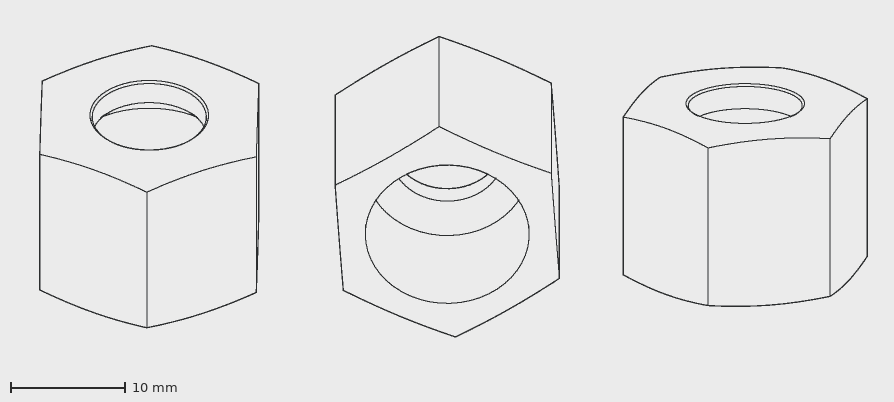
import cadquery as cq
import math

across_corners = 21.95
height = 15.5
face_diameter = 18.91
corner_angle = 15.0

bore_diameter = 10.0
bore_chamfer = 0.2
bore_depth = 2.25
socket_diameter = 14.37
cone_half_angle = 45.0

corner_radius = across_corners / 2
face_radius = face_diameter / 2
bore_radius = bore_diameter / 2
socket_radius = socket_diameter / 2
corner_drop = (corner_radius - face_radius) * math.tan(math.radians(corner_angle))
cone_length = (socket_radius - bore_radius) / math.tan(math.radians(cone_half_angle))


def revolve_profile(points):
    """Turn a closed (radius, height) outline around the Z axis."""
    return cq.Workplane("XZ").polyline(points).close().revolve(360, (0, 0), (0, 1))


def hexagonal_body():
    """Hexagonal prism with corners on the Y axis and both ends chamfered."""
    prism = (
        cq.Workplane("XY")
        .transformed(rotate=(0, 0, 90))
        .polygon(6, across_corners)
        .extrude(height)
    )
    chamfer_envelope = revolve_profile([
        (0, 0),
        (face_radius, 0),
        (corner_radius, corner_drop),
        (corner_radius, height - corner_drop),
        (face_radius, height),
        (0, height),
    ])
    return prism.intersect(chamfer_envelope)


def stepped_bore():
    """Wide socket, conical seat and chamfered narrow bore as one cutter."""
    cone_top = height - bore_depth
    cone_bottom = cone_top - cone_length
    return revolve_profile([
        (0, 0),
        (socket_radius, 0),
        (socket_radius, cone_bottom),
        (bore_radius, cone_top),
        (bore_radius, height - bore_chamfer),
        (bore_radius + bore_chamfer, height),
        (0, height),
    ])


result = hexagonal_body().cut(stepped_bore())